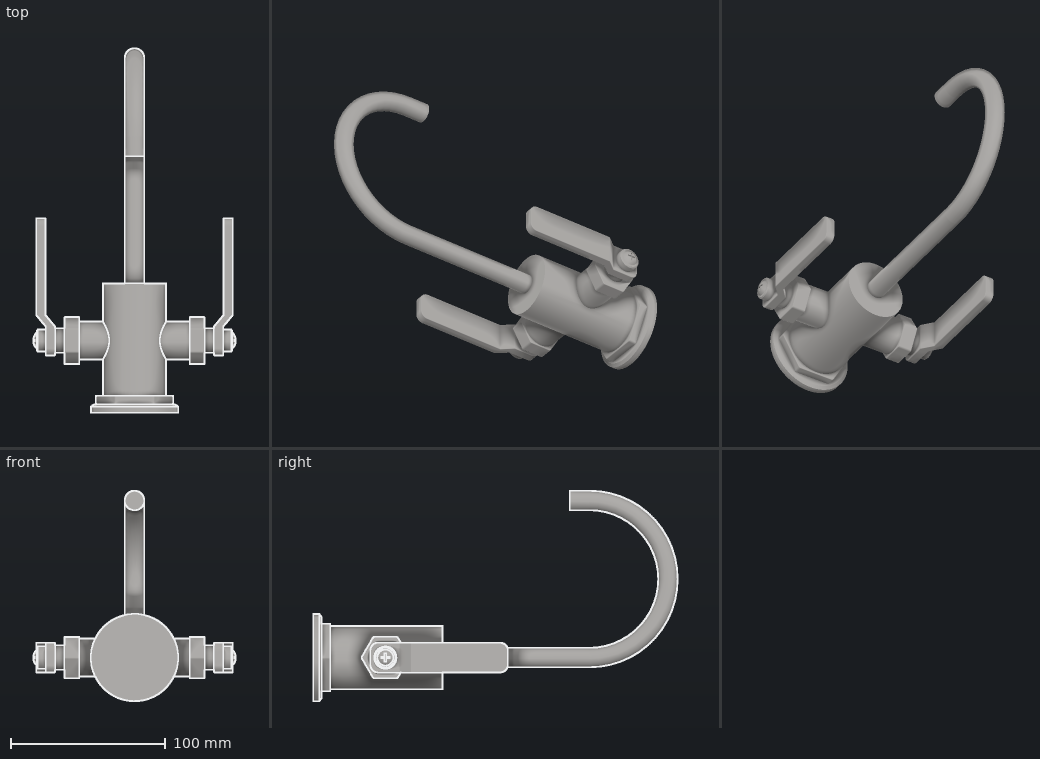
import cadquery as cq
import math

overall_length = 235.5
flange_diameter = 56.5
flange_thickness = 5.5
flange_chamfer_radial = 2.1
flange_chamfer_axial = 1.5
base_nut_across_flats = 43.8
base_nut_end = 11.0
body_diameter = 41.0
body_end = 83.6

nut_corner_radius = 1.6
nut_face_radius = 0.5

spout_diameter = 12.7
spout_rise = 101.5
spout_bend_radius = spout_rise / 2
spout_bend_start = overall_length - spout_bend_radius - spout_diameter / 2
spout_outlet_length = 12.7

valve_y = 46.6
stub_diameter = 24.7
nut_across_flats = 26.9
nut_inner = 35.5
nut_outer = 45.2
stem_diameter = 16.0

lever_thickness = 6.1
lever_inner = 51.4
lever_width = 19.3
lever_heel = 37.0
lever_tip = 125.8
crank_start = 55.8
crank_end = 63.1
lever_corner_radius = 5.0
lever_edge_radius = 0.5

screw_diameter = 14.4
screw_rim = 63.1
screw_rim_chamfer = 0.7
dome_radius = 5.2
dome_tip = 65.5
cross_length = 5.7
cross_width = 1.2
cross_depth = 1.5


def disc_y(diameter, start, end):
    """Cylinder on the Y axis between two Y positions."""
    plane = cq.Workplane("XZ", origin=(0, start, 0))
    return plane.circle(diameter / 2).extrude(start - end)


def disc_x(diameter, start, end):
    """Cylinder on the valve axis between two X positions."""
    plane = cq.Workplane("YZ", origin=(start, valve_y, 0))
    return plane.circle(diameter / 2).extrude(end - start)


def hexagon(plane, across_flats, length):
    """Hexagonal nut with two corners on the plane's local x axis and softened edges."""
    nut = plane.polygon(6, across_flats / math.cos(math.pi / 6)).extrude(length)
    axis = "Y" if plane.plane.zDir.y else "X"
    nut = nut.edges(f"|{axis}").fillet(nut_corner_radius)
    return nut.faces(f"<{axis} or >{axis}").edges().fillet(nut_face_radius)


def make_base():
    flange = disc_y(flange_diameter, 0, flange_thickness)
    flange = flange.faces(">Y").chamfer(flange_chamfer_axial, flange_chamfer_radial)
    nut_plane = cq.Workplane("XZ", origin=(0, base_nut_end, 0))
    nut_length = base_nut_end - flange_thickness
    nut = hexagon(nut_plane, base_nut_across_flats, nut_length)
    body = disc_y(body_diameter, 0, body_end)
    return flange.union(nut).union(body)


def make_spout():
    bend_middle = (spout_bend_start + spout_bend_radius, spout_bend_radius)
    path = (
        cq.Workplane("YZ")
        .moveTo(body_end, 0)
        .lineTo(spout_bend_start, 0)
        .threePointArc(bend_middle, (spout_bend_start, spout_rise))
        .lineTo(spout_bend_start - spout_outlet_length, spout_rise)
    )
    section = cq.Workplane("XZ", origin=(0, body_end, 0)).circle(spout_diameter / 2)
    return section.sweep(path)


def make_lever():
    mid = lever_inner + lever_thickness
    outer = mid + lever_thickness
    side_profile = [
        (lever_inner, lever_heel),
        (mid, lever_heel),
        (mid, crank_start),
        (outer, crank_end),
        (outer, lever_tip),
        (mid, lever_tip),
        (mid, crank_end),
        (lever_inner, crank_start),
    ]
    lever = cq.Workplane("XY").polyline(side_profile).close().extrude(lever_width / 2, both=True)
    lever = lever.edges("|X").fillet(lever_corner_radius)
    return lever.edges("not |X").fillet(lever_edge_radius)


def make_screw():
    rim_radius = screw_diameter / 2
    dome_height = dome_tip - screw_rim
    sphere_radius = (dome_radius**2 + dome_height**2) / (2 * dome_height)
    half_angle = math.asin(dome_radius / sphere_radius) / 2
    arc_middle = (dome_tip - sphere_radius * (1 - math.cos(half_angle)), sphere_radius * math.sin(half_angle))
    head = (
        cq.Workplane("XY", origin=(0, valve_y, 0))
        .moveTo(lever_inner, 0)
        .lineTo(lever_inner, rim_radius)
        .lineTo(screw_rim - screw_rim_chamfer, rim_radius)
        .lineTo(screw_rim, rim_radius - screw_rim_chamfer)
        .lineTo(screw_rim, dome_radius)
        .threePointArc(arc_middle, (dome_tip, 0))
        .close()
        .revolve(360, (0, 0, 0), (1, 0, 0))
    )
    recess = cq.Workplane("YZ", origin=(dome_tip - cross_depth, valve_y, 0))
    for bar in ((cross_length, cross_width), (cross_width, cross_length)):
        head = head.cut(recess.rect(*bar).extrude(cross_depth))
    return head


def make_valve():
    nut_plane = cq.Workplane("YZ", origin=(nut_inner, valve_y, 0))
    nut = hexagon(nut_plane, nut_across_flats, nut_outer - nut_inner)
    stub = disc_x(stub_diameter, 0, nut_inner)
    stem = disc_x(stem_diameter, nut_inner, lever_inner)
    return stub.union(nut).union(stem).union(make_lever()).union(make_screw())


valve = make_valve()
result = make_base().union(make_spout()).union(valve).union(valve.mirror("YZ"))